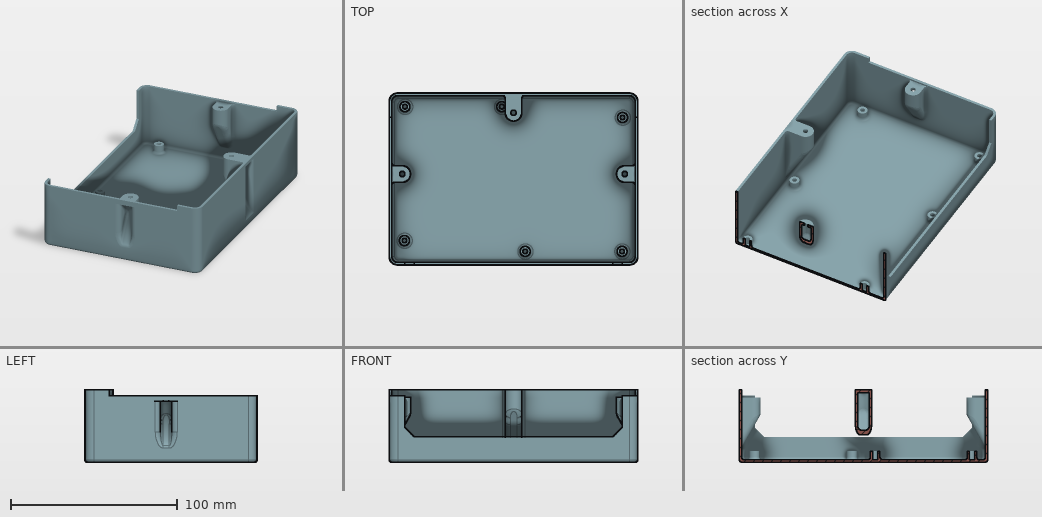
import cadquery as cq
import math

LENGTH = 149.2
WIDTH = 103.2
HEIGHT = 43.6
WALL = 1.6
CORNER_RADIUS = 5.2
BOTTOM_FILLET = 1.6

LOW_RIM_HEIGHT = 40.0
STEP_FROM_REAR = 14.6

OPENING_WIDTH = 130.4
OPENING_BOTTOM = 15.3
OPENING_CHAMFER = 5.7

TOWER_RADIUS = 5.0
TOWER_EDGE_FILLET = 3.2
TOWER_ROOT_FILLET = 1.6
SLOPE_FROM_VERTICAL = 30.0
SCREW_DIAMETER = 3.2
SCREW_LEDGE = 2.1
SIDE_TOWER_Y = 3.0
SIDE_TOWER_TOP = 38.9
SIDE_SCREW_DEPTH = 7.85
SIDE_SLOPE_START = 6.3
REAR_TOWER_TOP = HEIGHT
REAR_SCREW_DEPTH = 11.85
REAR_SLOPE_START = 2.2

STANDOFF_DIAMETER = 6.0
STANDOFF_HOLE = 2.85
STANDOFF_HEIGHT = 5.3
STANDOFF_FILLET = 1.6
STANDOFF_POINTS = [(65.1, -43.4), (7.0, -43.4), (65.4, 36.9)]

TOLERANCE = 0.01

SLOPE_RISE = 1 / math.tan(math.radians(SLOPE_FROM_VERTICAL))
SLOPE_WALL_HEIGHT = WALL / math.sin(math.radians(SLOPE_FROM_VERTICAL))


def rounded_block(length, width, bottom, top, corner_radius):
    """Upright block with rounded corners and a rounded bottom rim."""
    return (
        cq.Workplane("XY", origin=(0, 0, bottom))
        .rect(length, width)
        .extrude(top - bottom)
        .edges("|Z")
        .fillet(corner_radius)
        .faces("<Z")
        .edges()
        .fillet(BOTTOM_FILLET)
    )


def make_shell():
    outer = rounded_block(LENGTH, WIDTH, 0, HEIGHT, CORNER_RADIUS)
    cavity = rounded_block(
        LENGTH - 2 * WALL, WIDTH - 2 * WALL, WALL, HEIGHT + WALL, CORNER_RADIUS - WALL
    )
    return outer.cut(cavity)


def cut_low_rim(body):
    depth = WIDTH - STEP_FROM_REAR
    cutter = cq.Workplane("XY").box(LENGTH, depth, HEIGHT, centered=(True, False, False))
    return body.cut(cutter.translate((0, -WIDTH / 2, LOW_RIM_HEIGHT)))


def cut_front_opening(body):
    half = OPENING_WIDTH / 2
    corner_height = OPENING_BOTTOM + OPENING_CHAMFER
    opening = (
        cq.Workplane("XZ", origin=(0, -WIDTH / 2 + WALL, 0))
        .moveTo(-half, HEIGHT)
        .lineTo(-half, corner_height)
        .lineTo(-half + OPENING_CHAMFER, OPENING_BOTTOM)
        .lineTo(half - OPENING_CHAMFER, OPENING_BOTTOM)
        .lineTo(half, corner_height)
        .lineTo(half, HEIGHT)
        .close()
        .extrude(WALL)
    )
    return body.cut(opening)


def tower_form(face, screw_depth, slope_start, top, radius, edge_fillet, root_fillet, flared):
    """Tower growing along +X from a wall-thick slab whose front lies at x = face.

    The underside slopes and passes x = 0 at z = slope_start. On a flared tower the root
    fillets run straight down and the rounded sloped rim spreads along them. Otherwise one
    root fillet wraps all around the finished underside. The top is cut flat last.
    """
    raw_top = top + TOWER_RADIUS
    slab_back = face - WALL
    slab_width = 6 * radius
    tip = screw_depth + radius
    slab = cq.Workplane("XY").box(WALL, slab_width, raw_top, centered=(False, True, False))
    slab = slab.translate((slab_back, 0, 0))
    form = (
        cq.Workplane("XY")
        .moveTo(slab_back, -radius)
        .lineTo(screw_depth, -radius)
        .threePointArc((tip, 0), (screw_depth, radius))
        .lineTo(slab_back, radius)
        .close()
        .extrude(raw_top)
    )
    root_edges = cq.selectors.BoxSelector(
        (face - TOLERANCE, -radius - TOLERANCE, TOLERANCE),
        (face + TOLERANCE, radius + TOLERANCE, raw_top - TOLERANCE),
    )
    if flared:
        form = form.union(slab).edges(root_edges).fillet(root_fillet)

    below_slope = (
        cq.Workplane("XZ", origin=(0, slab_width / 2, 0))
        .moveTo(slab_back, slope_start + SLOPE_RISE * slab_back)
        .lineTo(2 * tip, slope_start + SLOPE_RISE * 2 * tip)
        .lineTo(2 * tip, -raw_top)
        .lineTo(slab_back, -raw_top)
        .close()
        .extrude(slab_width)
    )
    form = form.cut(below_slope)
    slope_normal = cq.Vector(SLOPE_RISE, 0, -1)
    sloped_face = form.faces(cq.selectors.ParallelDirSelector(slope_normal))
    sloped_rim = cq.selectors.BoxSelector(
        (slab_back + TOLERANCE, -2 * radius, 0), (tip + TOLERANCE, 2 * radius, raw_top)
    )
    form = sloped_face.edges(sloped_rim).fillet(edge_fillet)

    form = form.union(slab)
    if not flared:
        form = form.edges(root_edges).fillet(root_fillet)
    keep = cq.Workplane("XY", origin=(0, 0, BOTTOM_FILLET)).box(
        4 * tip, slab_width, top - BOTTOM_FILLET, centered=(True, True, False)
    )
    return form.intersect(keep)


def add_screw_tower(body, wall_point, turn, screw_depth, slope_start, top, flared):
    """Add a tower on the wall at wall_point; its local +X turned by `turn` points inward."""
    tower = tower_form(
        WALL,
        screw_depth,
        slope_start,
        top,
        TOWER_RADIUS,
        TOWER_EDGE_FILLET,
        TOWER_ROOT_FILLET,
        flared,
    )
    recess = tower_form(
        0,
        screw_depth,
        slope_start + SLOPE_WALL_HEIGHT,
        top - SCREW_LEDGE,
        TOWER_RADIUS - WALL,
        TOWER_EDGE_FILLET - WALL,
        TOWER_ROOT_FILLET + WALL,
        flared,
    )
    screw_hole = (
        cq.Workplane("XY", origin=(screw_depth, 0, top))
        .circle(SCREW_DIAMETER / 2)
        .extrude(-2 * SCREW_LEDGE)
    )

    def place(form):
        return form.rotate((0, 0, 0), (0, 0, 1), turn).translate(wall_point)

    return body.union(place(tower)).cut(place(recess)).cut(place(screw_hole))


def add_screw_towers(body):
    side = (SIDE_SCREW_DEPTH, SIDE_SLOPE_START, SIDE_TOWER_TOP, False)
    rear = (REAR_SCREW_DEPTH, REAR_SLOPE_START, REAR_TOWER_TOP, True)
    body = add_screw_tower(body, (-LENGTH / 2, SIDE_TOWER_Y, 0), 0, *side)
    body = add_screw_tower(body, (LENGTH / 2, SIDE_TOWER_Y, 0), 180, *side)
    return add_screw_tower(body, (0, WIDTH / 2, 0), -90, *rear)


def make_standoff():
    """Standoff on the floor as a turned profile with a flared foot and a blind hole."""
    outer = STANDOFF_DIAMETER / 2
    hole = STANDOFF_HOLE / 2
    foot = outer + STANDOFF_FILLET
    arc_reach = STANDOFF_FILLET * (1 - math.sqrt(0.5))
    return (
        cq.Workplane("XZ")
        .moveTo(hole, -WALL / 2)
        .lineTo(foot, -WALL / 2)
        .lineTo(foot, 0)
        .threePointArc((outer + arc_reach, arc_reach), (outer, STANDOFF_FILLET))
        .lineTo(outer, STANDOFF_HEIGHT)
        .lineTo(hole, STANDOFF_HEIGHT)
        .close()
        .revolve(360, (0, 0, 0), (0, 1, 0))
    )


def add_standoffs(body):
    standoff = make_standoff()
    for x, y in STANDOFF_POINTS:
        for side in (1, -1):
            body = body.union(standoff.translate((side * x, side * y, WALL)))
    return body


result = make_shell()
result = cut_low_rim(result)
result = cut_front_opening(result)
result = add_standoffs(result)
result = add_screw_towers(result)